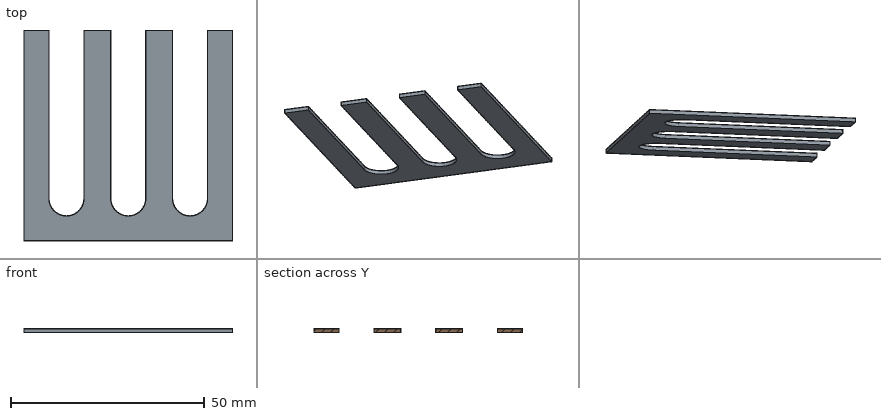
import cadquery as cq

plate_width = 54.0
plate_length = 54.5
plate_thickness = 1.0

slot_count = 3
slot_width = 9.0
slot_pitch = 16.0
base_strip = 6.5

slot_radius = slot_width / 2
front_edge = -plate_length / 2
back_edge = plate_length / 2
slot_arc_y = front_edge + base_strip + slot_radius


def make_plate():
    return cq.Workplane("XY").box(
        plate_width, plate_length, plate_thickness, centered=(True, True, False)
    )


def make_slot(center_x):
    """Cutter for one U-shaped slot."""
    left = center_x - slot_radius
    right = center_x + slot_radius
    return (
        cq.Workplane("XY")
        .moveTo(left, back_edge)
        .lineTo(left, slot_arc_y)
        .threePointArc((center_x, slot_arc_y - slot_radius), (right, slot_arc_y))
        .lineTo(right, back_edge)
        .close()
        .extrude(plate_thickness)
    )


result = make_plate()
for index in range(slot_count):
    slot_x = (index - (slot_count - 1) / 2) * slot_pitch
    result = result.cut(make_slot(slot_x))